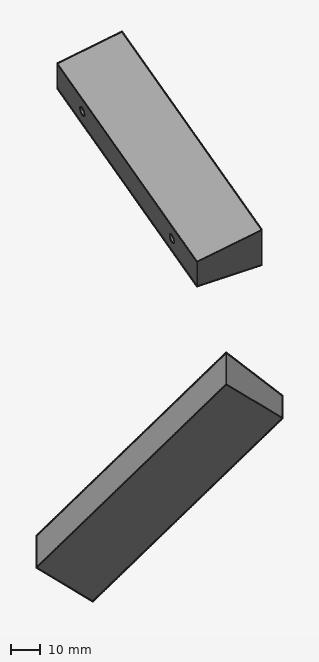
import cadquery as cq
import math

length = 100.0
depth = 25.0
back_height = 18.5
front_height = 13.0

hole_diameter = 3.3
hole_spacing = 64.0
hole_depth = 12.0
drill_point_angle = 118.0

front_y = -depth / 2
back_y = depth / 2


def tapered_bar():
    """Bar along X whose height grows evenly from the front to the back."""
    outline = [
        (front_y, -front_height / 2),
        (back_y, -back_height / 2),
        (back_y, back_height / 2),
        (front_y, front_height / 2),
    ]
    return cq.Workplane("YZ").polyline(outline).close().extrude(length / 2, both=True)


def drilled_hole(x):
    """Cutter for a hole running in +Y from the front face, ending in a cone."""
    radius = hole_diameter / 2
    point_length = radius / math.tan(math.radians(drill_point_angle / 2))
    half_profile = [
        (0, 0),
        (radius, 0),
        (radius, hole_depth),
        (0, hole_depth + point_length),
    ]
    cutter = cq.Workplane("XY").polyline(half_profile).close().revolve(360, (0, 0), (0, 1))
    return cutter.translate((x, front_y, 0))


result = tapered_bar()
for hole_x in (-hole_spacing / 2, hole_spacing / 2):
    result = result.cut(drilled_hole(hole_x))